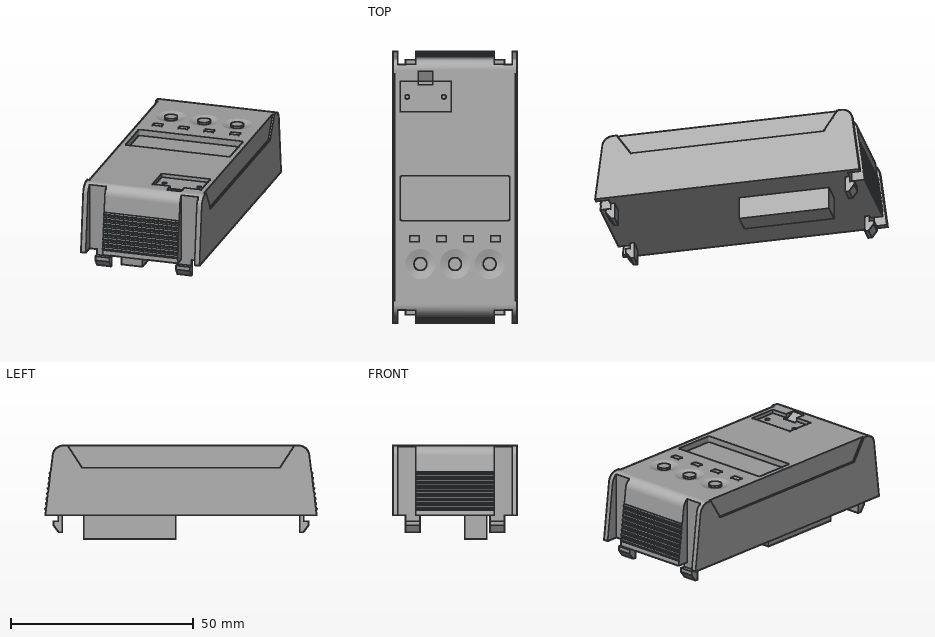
import cadquery as cq
import math

width = 34.0
height = 19.1
base_half_length = 37.11
end_taper = math.radians(7.0)
top_edge_radius = 3.0

side_wall = 1.4
grip_width = 21.5
recess_half_length = 33.57

ridge_count = 8
ridge_pitch = 1.384
ridge_lowest_tip = 1.8
ridge_half_height = 0.45
ridge_depth = 0.291

side_recess_depth = 0.55
side_recess_bottom = 13.05
side_recess_half_bottom = 27.05
side_recess_half_top = 31.0

window_width = 29.9
window_length = 12.2
window_y = -3.0
window_depth = 1.75
window_corner_radius = 0.5

pocket_width = 13.95
pocket_length = 8.35
pocket_x = -7.96
pocket_y = 24.8
pocket_depth = 1.05
pin_hole_count = 2
pin_hole_diameter = 1.2
pin_hole_spacing = 10.0
pin_hole_x = -8.04
pin_hole_y = 24.7
pin_hole_depth = 1.0
ramp_width = 4.0
ramp_x = -8.05
ramp_start_y = 31.75
ramp_end_y = 29.0
ramp_notch_end_y = 28.03
ramp_depth = 1.65

button_count = 3
button_pitch = 9.47
button_y = -20.98
button_diameter = 3.5
dish_diameter = 8.2
dish_depth = 0.58
dish_floor_diameter = 3.7
button_height = dish_depth

lamp_count = 4
lamp_pitch = 7.39
lamp_y = -14.08
lamp_width = 2.66
lamp_length = 1.65
lamp_depth = 1.0

hook_width = 4.0
hook_x = 11.53
hook_thickness = 1.15
hook_length = 4.65
hook_reach = 1.28
hook_ledge_z = -1.6
hook_nose_z = -2.75
hook_tip_width = 1.0

connector_width = 6.05
connector_length = 25.2
connector_x = 5.67
connector_y = 14.03
connector_height = 6.48


def wall_y(z):
    """Half length of the housing at height z on its tapered end."""
    return base_half_length - z * math.tan(end_taper)


def row(count, pitch, y):
    """Centres of a row of features spread evenly about X = 0."""
    return [((i - (count - 1) / 2) * pitch, y) for i in range(count)]


def extrude_across(profile, profile_width, x=0.0):
    """Extrude a closed YZ profile along X, centred on x."""
    return profile.extrude(profile_width / 2, both=True).translate((x, 0, 0))


def both_ends(shape):
    """The shape and its mirror image at the opposite end."""
    return [shape, shape.mirror("XZ")]


def top_box(box_width, box_length, depth, x, y):
    """Box sunk from the top face to the given depth."""
    box = cq.Workplane("XY").box(box_width, box_length, depth, centered=(True, True, False))
    return box.translate((x, y, height - depth))


def make_shell():
    profile = cq.Workplane("YZ").polyline([
        (-wall_y(0), 0),
        (wall_y(0), 0),
        (wall_y(height), height),
        (-wall_y(height), height),
    ]).close()
    shell = extrude_across(profile, width)
    return shell.edges(">Z and |X").fillet(top_edge_radius)


def make_end_recess(side):
    inner_x = grip_width / 2
    outer_x = width / 2 - side_wall
    recess_length = base_half_length - recess_half_length
    recess = cq.Workplane("XY").box(outer_x - inner_x, recess_length, height, centered=(True, False, False))
    return recess.translate((side * (inner_x + outer_x) / 2, recess_half_length, 0))


def make_ridge(tip_z):
    upper_z = tip_z + ridge_half_height
    lower_z = tip_z - ridge_half_height
    profile = cq.Workplane("YZ").polyline([
        (recess_half_length, lower_z),
        (wall_y(lower_z), lower_z),
        (wall_y(tip_z) + ridge_depth, tip_z),
        (wall_y(upper_z), upper_z),
        (recess_half_length, upper_z),
    ]).close()
    return extrude_across(profile, grip_width)


def make_hook(x):
    inner_y = recess_half_length - hook_thickness
    profile = cq.Workplane("YZ").polyline([
        (inner_y, 0),
        (inner_y, -hook_length),
        (inner_y + hook_tip_width, -hook_length),
        (recess_half_length + hook_reach, hook_nose_z),
        (recess_half_length + hook_reach, hook_ledge_z),
        (recess_half_length, hook_ledge_z),
        (recess_half_length, 0),
    ]).close()
    return extrude_across(profile, hook_width, x)


def make_side_recess(side):
    profile = cq.Workplane("YZ").polyline([
        (-side_recess_half_bottom, side_recess_bottom),
        (side_recess_half_bottom, side_recess_bottom),
        (side_recess_half_top, height),
        (-side_recess_half_top, height),
    ]).close()
    return extrude_across(profile, 2 * side_recess_depth, side * width / 2)


def make_window():
    window = top_box(window_width, window_length, window_depth, 0, window_y)
    return window.edges("|Z").fillet(window_corner_radius)


def make_pin_holes():
    pocket_floor = cq.Workplane("XY").workplane(offset=height - pocket_depth)
    centres = [(pin_hole_x + dx, y) for dx, y in row(pin_hole_count, pin_hole_spacing, pin_hole_y)]
    return pocket_floor.pushPoints(centres).circle(pin_hole_diameter / 2).extrude(-pin_hole_depth)


def make_ramp():
    profile = cq.Workplane("YZ").polyline([
        (ramp_start_y, height),
        (ramp_end_y, height - ramp_depth),
        (ramp_notch_end_y, height - ramp_depth),
        (ramp_notch_end_y, height),
    ]).close()
    return extrude_across(profile, ramp_width, ramp_x)


def make_dish(centre):
    x, y = centre
    rim = cq.Workplane("XY").workplane(offset=height).circle(dish_diameter / 2)
    dish = rim.workplane(offset=-dish_depth).circle(dish_floor_diameter / 2).loft()
    return dish.translate((x, y, 0))


def make_button(centre):
    x, y = centre
    button = cq.Workplane("XY").circle(button_diameter / 2).extrude(button_height)
    return button.translate((x, y, height - dish_depth))


def make_lamp(centre):
    return top_box(lamp_width, lamp_length, lamp_depth, *centre)


def make_connector():
    connector = cq.Workplane("XY").box(
        connector_width, connector_length, connector_height, centered=(True, True, False)
    )
    return connector.translate((connector_x, connector_y, -connector_height))


def make_housing(button_centres, lamps):
    housing = make_shell()
    for side in (-1, 1):
        for recess in both_ends(make_end_recess(side)):
            housing = housing.cut(recess)
        for hook in both_ends(make_hook(side * hook_x)):
            housing = housing.union(hook)
        housing = housing.cut(make_side_recess(side))
    for i in range(ridge_count):
        for ridge in both_ends(make_ridge(ridge_lowest_tip + i * ridge_pitch)):
            housing = housing.union(ridge)
    housing = housing.cut(make_window())
    housing = housing.cut(top_box(pocket_width, pocket_length, pocket_depth, pocket_x, pocket_y))
    housing = housing.cut(make_pin_holes())
    housing = housing.cut(make_ramp())
    for centre in button_centres:
        housing = housing.cut(make_dish(centre))
    for lamp in lamps:
        housing = housing.cut(lamp)
    return housing


button_centres = row(button_count, button_pitch, button_y)
buttons = [make_button(centre) for centre in button_centres]
lamps = [make_lamp(centre) for centre in row(lamp_count, lamp_pitch, lamp_y)]
connector = make_connector()
housing = make_housing(button_centres, lamps)

result = cq.Compound.makeCompound([
    housing.val(),
    *[button.val() for button in buttons],
    *[lamp.val() for lamp in lamps],
    connector.val(),
])